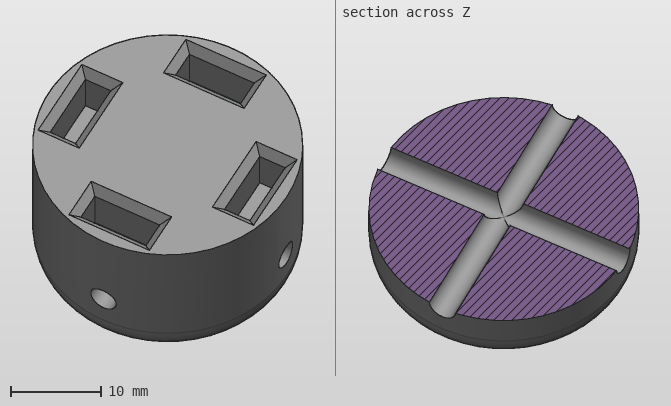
import cadquery as cq

body_diameter = 30.0
body_height = 20.0
bottom_radius = 5.0

cross_hole_diameter = 3.2
cross_hole_height = 9.0

pocket_length = 8.2
pocket_width = 3.2
pocket_depth = 6.0
lead_in = 1.0
pocket_center_radius = 11.0
pocket_count = 4


def make_body():
    body = cq.Workplane("XY").circle(body_diameter / 2).extrude(body_height)
    return body.faces("<Z").edges().fillet(bottom_radius)


def make_cross_hole(plane):
    """Horizontal hole running through the full diameter, normal to the plane."""
    return (
        cq.Workplane(plane)
        .center(0, cross_hole_height)
        .circle(cross_hole_diameter / 2)
        .extrude(body_diameter, both=True)
    )


def make_pocket():
    """Pocket on the +X side, with its long side along Y."""
    top = cq.Workplane("XY", origin=(pocket_center_radius, 0, body_height))
    straight = top.rect(pocket_width, pocket_length).extrude(-pocket_depth)
    funnel = (
        top.rect(pocket_width + 2 * lead_in, pocket_length + 2 * lead_in)
        .workplane(offset=-lead_in)
        .rect(pocket_width, pocket_length)
        .loft(ruled=True)
    )
    return straight.union(funnel)


result = make_body()
for plane in ("XZ", "YZ"):
    result = result.cut(make_cross_hole(plane))
for index in range(pocket_count):
    angle = index * 360 / pocket_count
    result = result.cut(make_pocket().rotate((0, 0, 0), (0, 0, 1), angle))